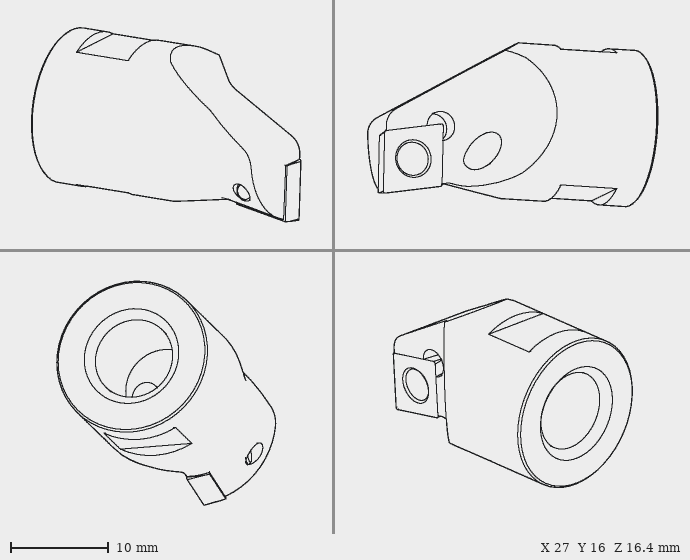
import cadquery as cq
import math

SHANK_RADIUS = 16.0 / 2
SHANK_LENGTH = 13.65
REAR_CHAMFER = 0.22
FLAT_START = 3.02
FLAT_LENGTH = 6.05
FLAT_HEIGHT = 7.05

WAIST_RADIUS = 6.9
WAIST_START = 19.7
WAIST_LENGTH = 0.38
FLARE_ANGLE = math.radians(10)
OVERALL_LENGTH = 27.0

SLOPE_START = 12.6
SLOPE_ANGLE = math.radians(30)
END_X = 26.78
END_ANGLE = 6.8
NOSE_RADIUS = 2.05

BORE_RADIUS = 8.2 / 2
BORE_MOUTH_RADIUS = 10.05 / 2
BORE_CHAMFER = BORE_MOUTH_RADIUS - BORE_RADIUS
BORE_DEPTH = 12.15

COOLANT_DIAMETER = 3.0
COOLANT_MOUTH_Y = 1.95
COOLANT_MOUTH_Z = -0.97
COOLANT_LEAD_IN = 2.7
COOLANT_ANGLE = math.radians(30)
COOLANT_LENGTH = 16.2

RAKE_TILT = math.radians(3.7)
TIP_Z = -8.4
RUNOUT_X = 18.5
RUNOUT_RADIUS = 1.9

INSERT_SIDE = 6.45
INSERT_ANGLE = math.radians(80)
INSERT_THICKNESS = 2.38
INSERT_RELIEF = 7.0
INSERT_CORNER_RADIUS = 0.22
INSERT_HOLE_DIAMETER = 2.8
INSERT_SINK_DIAMETER = 3.85
INSERT_SINK_DEPTH = (INSERT_SINK_DIAMETER - INSERT_HOLE_DIAMETER) / 2
POCKET_RELIEF_DIAMETER = 3.0
POCKET_RELIEF_SHIFT = 0.27

HEAD_DIAMETER = 3.4
SHOULDER_DIAMETER = 2.5
SCREW_DIAMETER = 2.05
SCREW_END_CHAMFER = 0.22
SCREW_LENGTH = 5.95

CUT_SIZE = 3 * OVERALL_LENGTH

FACE_UP = cq.Vector(0, math.sin(RAKE_TILT), math.cos(RAKE_TILT))
DEPTH = cq.Vector(0, -math.cos(RAKE_TILT), math.sin(RAKE_TILT))
TIP = cq.Vector(OVERALL_LENGTH, 0, TIP_Z)
RAKE_PLANE = cq.Plane(origin=TIP, xDir=(1, 0, 0), normal=DEPTH)

SIDE_X = -INSERT_SIDE * math.sin(INSERT_ANGLE)
SIDE_Y = INSERT_SIDE * math.cos(INSERT_ANGLE)
BACK_CORNER = (SIDE_X, SIDE_Y + INSERT_SIDE)
INSERT_CENTER = (BACK_CORNER[0] / 2, BACK_CORNER[1] / 2)


def rake_cylinder(center, diameter, start, end):
    """Cylinder square to the rake face, between two depths below it."""
    return (
        cq.Workplane(RAKE_PLANE).workplane(offset=start)
        .center(*center).circle(diameter / 2).extrude(end - start)
    )


def insert_blank():
    corners = [(0, 0), (0, INSERT_SIDE), BACK_CORNER, (SIDE_X, SIDE_Y)]
    outline = cq.Sketch().polygon([*corners, corners[0]]).vertices().fillet(INSERT_CORNER_RADIUS)
    return cq.Workplane(RAKE_PLANE).placeSketch(outline).extrude(INSERT_THICKNESS, taper=INSERT_RELIEF)


def make_insert():
    sink = cq.Solid.makeCone(
        INSERT_SINK_DIAMETER / 2, INSERT_HOLE_DIAMETER / 2, INSERT_SINK_DEPTH,
        pnt=RAKE_PLANE.toWorldCoords(INSERT_CENTER), dir=DEPTH,
    )
    hole = rake_cylinder(INSERT_CENTER, INSERT_HOLE_DIAMETER, 0, INSERT_THICKNESS)
    return insert_blank().cut(hole).cut(cq.Workplane(sink))


def make_screw():
    """Screw turned about its axis: countersunk head, shoulder in the insert, thread in the holder."""
    head_radius = HEAD_DIAMETER / 2
    shoulder_radius = SHOULDER_DIAMETER / 2
    screw_radius = SCREW_DIAMETER / 2
    head_top = (INSERT_SINK_DIAMETER - HEAD_DIAMETER) / 2
    hole_radius = INSERT_HOLE_DIAMETER / 2
    axis_plane = cq.Plane(
        origin=RAKE_PLANE.toWorldCoords(INSERT_CENTER), xDir=(1, 0, 0), normal=FACE_UP * -1,
    )
    return (
        cq.Workplane(axis_plane)
        .polyline([
            (0, head_top),
            (head_radius, head_top),
            (hole_radius, INSERT_SINK_DEPTH),
            (shoulder_radius, INSERT_SINK_DEPTH),
            (shoulder_radius, INSERT_THICKNESS),
            (screw_radius, INSERT_THICKNESS),
            (screw_radius, SCREW_LENGTH - SCREW_END_CHAMFER),
            (screw_radius - SCREW_END_CHAMFER, SCREW_LENGTH),
            (0, SCREW_LENGTH),
        ]).close()
        .revolve(360, (0, 0, 0), (0, 1, 0))
    )


def holder_blank():
    """Shank, waist and flare turned about X."""
    waist_end = WAIST_START + WAIST_LENGTH
    flare_end = OVERALL_LENGTH + NOSE_RADIUS
    flare_radius = WAIST_RADIUS + (flare_end - waist_end) * math.tan(FLARE_ANGLE)
    waist_dip = WAIST_LENGTH / 2 * math.tan(FLARE_ANGLE / 2)
    return (
        cq.Workplane("XY")
        .moveTo(0, 0)
        .lineTo(0, SHANK_RADIUS - REAR_CHAMFER)
        .lineTo(REAR_CHAMFER, SHANK_RADIUS)
        .lineTo(SHANK_LENGTH, SHANK_RADIUS)
        .lineTo(WAIST_START, WAIST_RADIUS)
        .threePointArc(
            (WAIST_START + WAIST_LENGTH / 2, WAIST_RADIUS - waist_dip), (waist_end, WAIST_RADIUS),
        )
        .lineTo(flare_end, flare_radius)
        .lineTo(flare_end, 0)
        .close()
        .revolve(360, (0, 0, 0), (1, 0, 0))
    )


def wrench_flat(side):
    """Block above (side 1) or below (side -1) the shank that leaves a flat."""
    return (
        cq.Workplane("XY")
        .box(FLAT_LENGTH, 2 * SHANK_RADIUS, SHANK_RADIUS, centered=(False, True, True))
        .translate((FLAT_START, 0, side * (FLAT_HEIGHT + SHANK_RADIUS / 2)))
    )


def nose_envelope():
    """Everything below the slope and behind the slanted end face, rounded where they meet."""
    end_tilt = math.radians(END_ANGLE)
    slope_end_z = SHANK_RADIUS - (END_X - SLOPE_START) * math.tan(SLOPE_ANGLE)
    lean = CUT_SIZE / 2 * math.tan(end_tilt)
    block = (
        cq.Workplane("XY")
        .polyline([
            (-CUT_SIZE, -CUT_SIZE / 2),
            (END_X - lean, -CUT_SIZE / 2),
            (END_X + lean, CUT_SIZE / 2),
            (-CUT_SIZE, CUT_SIZE / 2),
        ]).close()
        .extrude(CUT_SIZE, both=True)
    )
    rise = CUT_SIZE * math.tan(SLOPE_ANGLE)
    above_slope = (
        cq.Workplane("XZ")
        .polyline([
            (END_X - CUT_SIZE, slope_end_z + rise),
            (END_X + CUT_SIZE, slope_end_z - rise),
            (END_X + CUT_SIZE, slope_end_z + rise),
        ]).close()
        .extrude(CUT_SIZE, both=True)
    )
    nose_edge = cq.selectors.NearestToPointSelector((END_X, 0, slope_end_z))
    return block.cut(above_slope).edges(nose_edge).fillet(NOSE_RADIUS)


def clearance():
    """Space in front of the rake face, with a filleted 45 degree run-out."""
    side_plane = cq.Plane(origin=(0, 0, TIP_Z), xDir=(1, 0, 0), normal=FACE_UP)
    corner = cq.selectors.NearestToPointSelector((RUNOUT_X, 0, TIP_Z))
    return (
        cq.Workplane(side_plane)
        .polyline([
            (RUNOUT_X - OVERALL_LENGTH, OVERALL_LENGTH),
            (RUNOUT_X, 0),
            (2 * OVERALL_LENGTH, 0),
            (2 * OVERALL_LENGTH, OVERALL_LENGTH),
        ]).close()
        .extrude(CUT_SIZE, both=True)
        .edges(corner).fillet(RUNOUT_RADIUS)
    )


def bore():
    return (
        cq.Workplane("XY")
        .polyline([
            (0, 0),
            (0, BORE_MOUTH_RADIUS),
            (BORE_CHAMFER, BORE_RADIUS),
            (BORE_DEPTH, BORE_RADIUS),
            (BORE_DEPTH, 0),
        ]).close()
        .revolve(360, (0, 0, 0), (1, 0, 0))
    )


def coolant_hole():
    direction = cq.Vector(math.cos(COOLANT_ANGLE), 0, -math.sin(COOLANT_ANGLE))
    start = cq.Vector(
        BORE_DEPTH - COOLANT_LEAD_IN,
        COOLANT_MOUTH_Y,
        COOLANT_MOUTH_Z + COOLANT_LEAD_IN * math.tan(COOLANT_ANGLE),
    )
    hole = cq.Solid.makeCylinder(
        COOLANT_DIAMETER / 2, COOLANT_LENGTH, pnt=start, dir=direction,
    )
    return cq.Workplane(hole)


def make_holder():
    body = holder_blank().intersect(nose_envelope()).cut(clearance())
    for side in (1, -1):
        body = body.cut(wrench_flat(side))
    body = body.cut(bore()).cut(coolant_hole())
    body = body.cut(insert_blank())
    relief_center = (
        BACK_CORNER[0] + POCKET_RELIEF_SHIFT, BACK_CORNER[1] - POCKET_RELIEF_SHIFT,
    )
    body = body.cut(rake_cylinder(relief_center, POCKET_RELIEF_DIAMETER, 0, INSERT_THICKNESS))
    return body.cut(rake_cylinder(INSERT_CENTER, SCREW_DIAMETER, 0, OVERALL_LENGTH))


holder = make_holder()
insert = make_insert()
screw = make_screw()

result = cq.Compound.makeCompound([holder.solids().val(), insert.solids().val(), screw.val()])